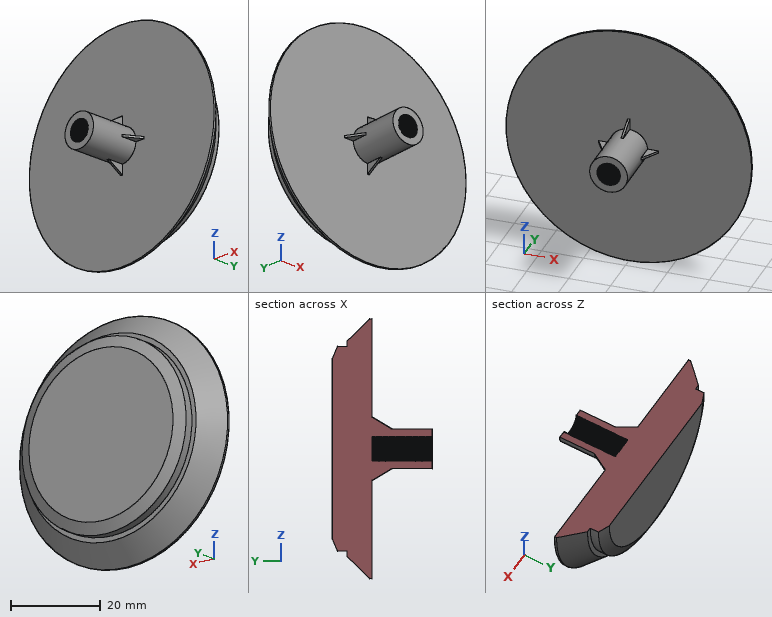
import cadquery as cq


flange_radius = 29.25
flange_thickness = 5.7
rim_thickness = 0.6
cone_end_radius = 24.2

disc_radius = 23.05
disc_height = 3.35
bevel_width = 2.8
bevel_height = 1.15

stem_radius = 4.5
stem_length = 13.5

groove_root_radius = 2.75
groove_crest_radius = 2.6
groove_pitch = 0.3
groove_count = 46

rib_count = 4
rib_reach = 7.15
rib_height = 4.4
rib_thickness = 0.5

AXIS_START = (0, 0)
AXIS_END = (0, 1)


def revolve_about_y(profile):
    """Turn a closed (radius, Y) profile fully around the Y axis."""
    return profile.close().revolve(360, AXIS_START, AXIS_END)


def make_cap():
    back = flange_thickness + disc_height
    profile = (
        cq.Workplane("XY")
        .lineTo(flange_radius, 0)
        .lineTo(flange_radius, rim_thickness)
        .lineTo(cone_end_radius, flange_thickness)
        .lineTo(disc_radius, flange_thickness)
        .lineTo(disc_radius, back - bevel_height)
        .lineTo(disc_radius - bevel_width, back)
        .lineTo(0, back)
    )
    return revolve_about_y(profile)


def make_stem():
    return cq.Workplane("XZ").circle(stem_radius).extrude(stem_length)


def make_rib(angle):
    rib = (
        cq.Workplane("XY")
        .lineTo(rib_reach, 0)
        .lineTo(stem_radius, -rib_height)
        .lineTo(0, -rib_height)
        .close()
        .extrude(rib_thickness / 2, both=True)
    )
    return rib.rotate((0, 0, 0), (0, 1, 0), angle)


def make_bore():
    mouth = -stem_length
    profile = cq.Workplane("XY").moveTo(0, mouth).lineTo(groove_root_radius, mouth)
    for groove in range(groove_count):
        start = mouth + groove * groove_pitch
        profile = profile.lineTo(groove_crest_radius, start + groove_pitch / 2)
        profile = profile.lineTo(groove_root_radius, start + groove_pitch)
    profile = profile.lineTo(0, mouth + groove_count * groove_pitch)
    return revolve_about_y(profile)


body = make_cap().union(make_stem())
for index in range(rib_count):
    body = body.union(make_rib(index * 360 / rib_count))

result = body.cut(make_bore())